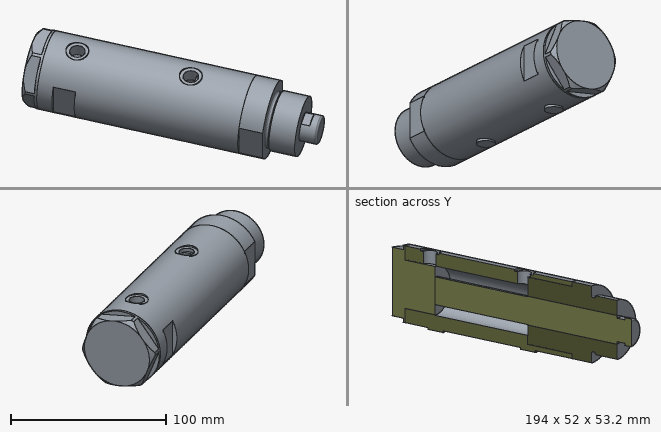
import cadquery as cq
import math


total_length = 194.0
outer_radius = 26.0
across_flats = 46.0
sideways = 90.0
bore_radius = 16.5

hex_length = 9.0
hex_chamfer = 3.0
cap_flange_length = 1.7
cap_turn = -68.0
plug_end = 35.0

housing_start = hex_length + cap_flange_length
housing_end = 145.7
wrench_flat_start = 21.0
wrench_flat_length = 15.0

first_port_x = 30.5
port_spacing = 76.2
port_diameter = 9.9
spotface_diameter = 14.7
spotface_depth = 1.2

first_pad_x = 35.1
pad_spacing = 74.7
pad_diameter = 12.2
pad_height = 1.2

gland_start = 109.6
spigot_radius = 22.5
gland_flange_end = 161.6
gland_end = 182.2
neck_radius = 20.0
neck_chamfer = 0.8
relief_radius = 18.5
relief_length = 2.5
relief_fillet = 0.5

rod_radius = 9.5
rod_start = plug_end
rod_across_flats = 16.1
rod_flat_end = 188.0
rod_end_fillet = 1.4


def revolve_about_x(points):
    """Solid of revolution about X from (x, radius) points."""
    return cq.Workplane("XZ").polyline(points).close().revolve(360, (0, 0, 0), (1, 0, 0))


def cylinder(start, end, radius):
    """Cylinder on the X axis between two x positions."""
    return revolve_about_x([(start, 0), (end, 0), (end, radius), (start, radius)])


def cut_flats(body, start, end, radius, width, turn=0):
    """Cut two parallel flats, a given width apart, into a round stretch along X.

    The flats face -Z and +Z, turned about X by an angle in degrees.
    """
    waste = cylinder(start, end, 2 * radius)
    kept = cq.Workplane("XY").box(end - start, 4 * radius, width).translate(((start + end) / 2, 0, 0))
    return body.cut(waste.cut(kept).rotate((0, 0, 0), (1, 0, 0), turn))


def make_cap():
    head = revolve_about_x([
        (0, 0),
        (hex_length, 0),
        (hex_length, outer_radius),
        (hex_chamfer, outer_radius),
        (0, outer_radius - hex_chamfer),
    ])
    hex_diameter = across_flats / math.cos(math.pi / 6)
    head = head.intersect(cq.Workplane("YZ").polygon(6, hex_diameter).extrude(hex_length))
    shank = revolve_about_x([
        (hex_length, 0),
        (plug_end, 0),
        (plug_end, bore_radius),
        (housing_start, bore_radius),
        (housing_start, outer_radius),
        (hex_length, outer_radius),
    ])
    return head.union(shank).rotate((0, 0, 0), (1, 0, 0), cap_turn)


def make_housing():
    body = cylinder(housing_start, housing_end, outer_radius)
    wrench_flat_end = wrench_flat_start + wrench_flat_length
    body = cut_flats(body, wrench_flat_start, wrench_flat_end, outer_radius, across_flats, sideways)

    for pad_x in (first_pad_x, first_pad_x + pad_spacing):
        pad = cq.Workplane("XY").circle(pad_diameter / 2).extrude(outer_radius + pad_height)
        body = body.union(pad.mirror("XY").translate((pad_x, 0, 0)))

    for port_x in (first_port_x, first_port_x + port_spacing):
        port = cq.Workplane("XY").circle(port_diameter / 2).extrude(outer_radius)
        spotface = (
            cq.Workplane("XY", origin=(0, 0, outer_radius - spotface_depth))
            .circle(spotface_diameter / 2)
            .extrude(outer_radius)
        )
        body = body.cut(port.union(spotface).translate((port_x, 0, 0)))

    bore = cylinder(housing_start, housing_end, bore_radius)
    gland_seat = cylinder(gland_start, housing_end, spigot_radius)
    return body.cut(bore).cut(gland_seat)


def make_gland():
    relief_end = gland_flange_end + relief_length
    body = revolve_about_x([
        (gland_start, rod_radius),
        (gland_end, rod_radius),
        (gland_end, neck_radius),
        (relief_end + neck_chamfer, neck_radius),
        (relief_end, neck_radius - neck_chamfer),
        (relief_end, relief_radius),
        (gland_flange_end, relief_radius),
        (gland_flange_end, outer_radius),
        (housing_end, outer_radius),
        (housing_end, spigot_radius),
        (gland_start, spigot_radius),
    ])
    body = body.edges(cq.selectors.RadiusNthSelector(1)).fillet(relief_fillet)
    return cut_flats(body, housing_end, gland_flange_end, outer_radius, across_flats, sideways)


def make_rod():
    body = cylinder(rod_start, total_length, rod_radius).faces(">X").edges().fillet(rod_end_fillet)
    return cut_flats(body, gland_end, rod_flat_end, rod_radius, rod_across_flats)


cap = make_cap()
housing = make_housing()
gland = make_gland()
rod = make_rod()

bodies = [cap, housing, gland, rod]
result = cq.Compound.makeCompound([body.solids().val() for body in bodies])